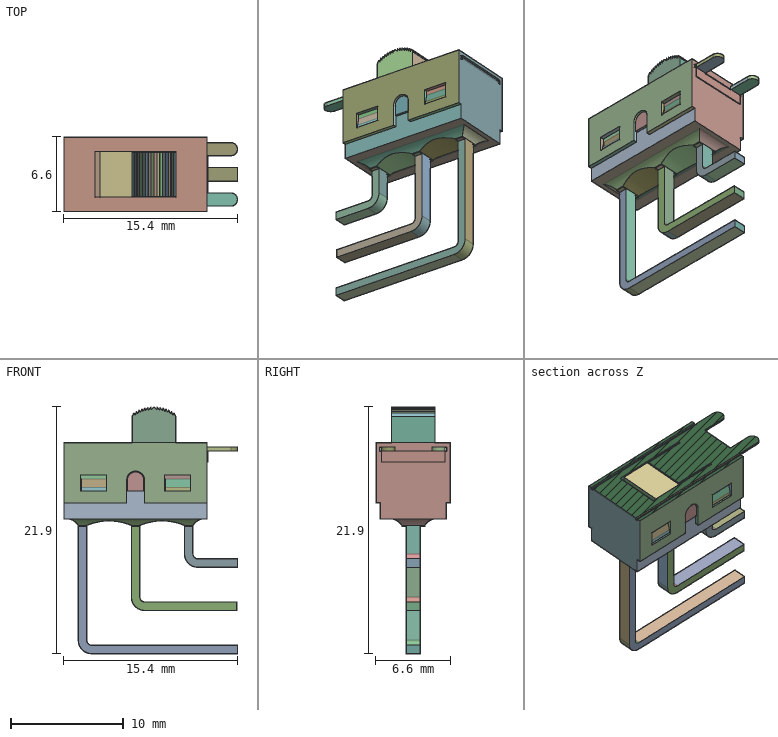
import cadquery as cq
import math


housing_length = 12.7
housing_height = 6.77
cover_width = 6.6
cover_wall = 0.35
cover_bottom = 1.42
base_width = cover_width - 2 * cover_wall
end_x = housing_length / 2
cover_y = cover_width / 2
base_y = base_width / 2

window_x = 3.72
window_length = 2.3
window_bottom = 2.47
window_height = 1.45
snap_gap = 0.07
snap_out = 0.18
snap_ledge_height = 0.33
snap_height = 1.05
notch_width = 1.58
notch_top = 4.25
peg_gap = 0.07
peg_out = 0.2

opening_length = 7.16
opening_width = 4.03
opening_depth = 0.7
lip_thickness = 0.4
lip_overhang = 0.07
gap_length = 0.42
gap_depth = 1.1
knob_length = 3.9
knob_width = 3.9
knob_top = 9.95
grip_radius = 3.28
tooth_depth = 0.22
tooth_angle = 4.7
teeth_per_side = 7

sheet_top = 6.4
sheet_thickness = 0.37
sheet_width = 5.65
tab_tip_x = 9.05
tab_width = 1.18
bend_out = 0.07
bend_bottom = 5.04
slot_top = 6.44
slot_radius = 0.33
channel_outer_y = 2.95
channel_width = 0.2
channel_height = 0.33

pin_pitch = 4.7
pin_thickness = 0.77
pin_width = 1.25
pin_tips_x = (9.05, 8.98, 9.05)
pin_bottom = -11.95
pin_level_step = 3.83
bend_outer_radius = 1.2
shoulder_width = 2.04
shoulder_height = 0.65

seal_height = 0.57
seal_saddle = 0.18
seal_overhang = 0.79
seal_side_y = 1.85
hollow_share = 0.4


def box(x_range, y_range, z_range):
    """Axis-aligned box given by its limits along each axis."""
    (x0, x1), (y0, y1), (z0, z1) = x_range, y_range, z_range
    return cq.Workplane("XY").box(x1 - x0, y1 - y0, z1 - z0, centered=False).translate((x0, y0, z0))


def both_sides(solid):
    """The solid joined with its mirror image across the XZ plane."""
    return solid.union(solid.mirror("XZ"))


def housing():
    base = box((-end_x, end_x), (-base_y, base_y), (0, cover_bottom))
    cover = box((-end_x, end_x), (-cover_y, cover_y), (cover_bottom, housing_height))
    return base.union(cover)


def arch(width, bottom, top, inner_y, outer_y):
    """Round-topped block on the -Y side, between two depths."""
    spring = top - width / 2
    return (
        cq.Workplane("XZ", origin=(0, -inner_y, 0))
        .moveTo(-width / 2, bottom)
        .lineTo(width / 2, bottom)
        .lineTo(width / 2, spring)
        .threePointArc((0, top), (-width / 2, spring))
        .close()
        .extrude(outer_y - inner_y)
    )


def side_notch():
    notch = arch(notch_width, cover_bottom, notch_top, base_y, cover_y)
    peg = arch(notch_width - 2 * peg_gap, window_bottom, notch_top - peg_gap, base_y, base_y + peg_out)
    return notch.cut(peg)


def side_window(center_x):
    """Window in the -Y cover side, less the snap wedge that stands in it."""
    start_x = center_x - window_length / 2
    finish_x = center_x + window_length / 2
    window_top = window_bottom + window_height
    opening = box((start_x, finish_x), (-cover_y, -base_y), (window_bottom, window_top))
    snap = (
        cq.Workplane("YZ", origin=(start_x + snap_gap, 0, 0))
        .moveTo(-base_y, window_bottom)
        .lineTo(-base_y - snap_out, window_bottom)
        .lineTo(-base_y - snap_out, window_bottom + snap_ledge_height)
        .lineTo(-base_y, window_bottom + snap_height)
        .close()
        .extrude(window_length - snap_gap)
    )
    return opening.cut(snap)


def slider_opening():
    """Stepped opening that widens in Y under the lip of the cover, with a deeper gap at its -X end."""
    start_x = -opening_length / 2
    half_lip = opening_width / 2
    half_floor = half_lip + lip_overhang
    lip_bottom = housing_height - lip_thickness
    floor_z = housing_height - opening_depth
    mouth = box((start_x, -start_x), (-half_lip, half_lip), (lip_bottom, housing_height))
    well = box((start_x, -start_x), (-half_floor, half_floor), (floor_z, lip_bottom))
    gap_x = (start_x, start_x + gap_length)
    gap = box(gap_x, (-half_floor, half_floor), (housing_height - gap_depth, floor_z))
    return mouth.union(well).union(gap)


def grip_point(radius, degrees):
    """Point on a circle about the grip centre, measured from the vertical."""
    angle = math.radians(degrees)
    return (radius * math.sin(angle), knob_top - grip_radius + radius * math.cos(angle))


def knob():
    """Slider knob whose saw teeth have their steep sides facing the middle."""
    root_radius = grip_radius - tooth_depth
    right_side = []
    for tooth in range(1, teeth_per_side + 1):
        right_side.append(grip_point(root_radius, tooth * tooth_angle))
        right_side.append(grip_point(grip_radius, tooth * tooth_angle))
    edge_z = grip_point(root_radius, (teeth_per_side + 1) * tooth_angle)[1]
    floor_z = housing_height - opening_depth
    right_side.append((knob_length / 2, edge_z))
    right_side.append((knob_length / 2, floor_z))
    left_side = [(-x, z) for x, z in reversed(right_side)]
    center_x = (opening_length - knob_length) / 2
    return (
        cq.Workplane("XZ", origin=(center_x, 0, 0))
        .polyline(left_side + [(0, knob_top)] + right_side)
        .close()
        .extrude(knob_width / 2, both=True)
    )


def bend_slot():
    """Slot in the -X end that bares the rounded bend of the sheet, with a channel at each end."""
    inner_y = channel_outer_y - channel_width
    slot_bottom = slot_top - slot_radius
    mid = slot_radius * (1 - math.cos(math.pi / 4))
    slot = (
        cq.Workplane("XZ")
        .moveTo(-end_x, slot_bottom)
        .lineTo(-end_x, slot_top)
        .lineTo(-end_x + slot_radius, slot_top)
        .threePointArc((-end_x + mid, slot_top - mid), (-end_x, slot_bottom))
        .close()
        .extrude(inner_y, both=True)
    )
    channel_bottom = sheet_top - sheet_thickness
    channel = box(
        (-end_x, end_x), (inner_y, channel_outer_y), (channel_bottom, channel_bottom + channel_height)
    )
    return slot.union(both_sides(channel))


def sheet_tabs():
    """Two round-ended tabs at the +X end and the bend that joins them."""
    bottom = sheet_top - sheet_thickness
    round_x = tab_tip_x - tab_width / 2
    outer_y = sheet_width / 2
    inner_y = outer_y - tab_width
    tab = (
        cq.Workplane("XY", origin=(0, 0, bottom))
        .moveTo(end_x, inner_y)
        .lineTo(round_x, inner_y)
        .threePointArc((tab_tip_x, outer_y - tab_width / 2), (round_x, outer_y))
        .lineTo(end_x, outer_y)
        .close()
        .extrude(sheet_thickness)
    )
    bend = box((end_x, end_x + bend_out), (-outer_y, outer_y), (bend_bottom, bottom))
    return both_sides(tab).union(bend)


def pin(number, tip_x):
    """Bent pin with a wide shoulder where it leaves the base."""
    left_x = (number - 1) * pin_pitch - pin_thickness / 2
    right_x = left_x + pin_thickness
    bottom = pin_bottom + number * pin_level_step
    top = bottom + pin_thickness
    blank = (
        cq.Workplane("XZ")
        .moveTo(left_x, 0)
        .lineTo(left_x, bottom)
        .lineTo(tip_x, bottom)
        .lineTo(tip_x, top)
        .lineTo(right_x, top)
        .lineTo(right_x, 0)
        .close()
        .extrude(pin_width / 2, both=True)
    )
    outer_corner = cq.selectors.NearestToPointSelector((left_x, 0, bottom))
    inner_corner = cq.selectors.NearestToPointSelector((right_x, 0, top))
    bent = blank.edges(outer_corner).fillet(bend_outer_radius)
    bent = bent.edges(inner_corner).fillet(bend_outer_radius - pin_thickness)
    shoulder = box(
        (left_x, right_x), (-shoulder_width / 2, shoulder_width / 2), (-shoulder_height, 0)
    )
    return bent.union(shoulder)


def seal():
    """Compound shaped by a scalloped lengthwise profile and a hollow crosswise one."""
    half_pin = pin_thickness / 2
    pin_x = pin_pitch + half_pin
    rim_x = pin_x + seal_overhang
    hollow_x = pin_x + hollow_share * seal_overhang
    hollow_z = -hollow_share * seal_height
    lengthwise = (
        cq.Workplane("XZ")
        .moveTo(-rim_x, 0)
        .threePointArc((-hollow_x, hollow_z), (-pin_x, -seal_height))
        .lineTo(-pin_pitch + half_pin, -seal_height)
        .threePointArc((-pin_pitch / 2, -seal_saddle), (-half_pin, -seal_height))
        .lineTo(half_pin, -seal_height)
        .threePointArc((pin_pitch / 2, -seal_saddle), (pin_pitch - half_pin, -seal_height))
        .lineTo(pin_x, -seal_height)
        .threePointArc((hollow_x, hollow_z), (rim_x, 0))
        .close()
        .extrude(seal_side_y, both=True)
    )
    foot_y = shoulder_width / 2
    hollow_y = foot_y + hollow_share * (seal_side_y - foot_y)
    crosswise = (
        cq.Workplane("YZ")
        .moveTo(-seal_side_y, 0)
        .threePointArc((-hollow_y, hollow_z), (-foot_y, -seal_height))
        .lineTo(foot_y, -seal_height)
        .threePointArc((hollow_y, hollow_z), (seal_side_y, 0))
        .close()
        .extrude(rim_x, both=True)
    )
    return lengthwise.intersect(crosswise)


result = housing().cut(both_sides(side_notch()))
for x in (-window_x, window_x):
    result = result.cut(both_sides(side_window(x)))
result = result.cut(slider_opening()).cut(bend_slot())
result = result.union(knob()).union(sheet_tabs()).union(seal())
for number, tip_x in enumerate(pin_tips_x):
    result = result.union(pin(number, tip_x))